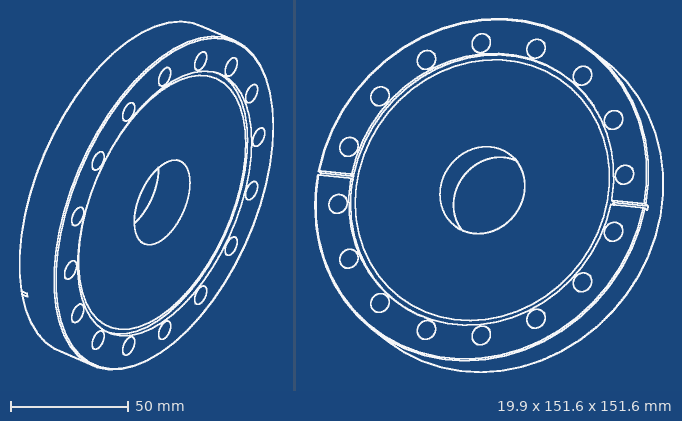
import cadquery as cq
import math

thickness = 19.9
outer_radius = 75.8
bore_radius = 19.3
edge_chamfer = 0.6

bolt_count = 16
bolt_circle_radius = 65.0
bolt_hole_diameter = 8.3

recess_radius = 60.2
knife_edge_radius = 57.8
recess_depth = 1.4
seal_slope_angle = 20.0
seal_slope_drop = (recess_radius - knife_edge_radius) * math.tan(math.radians(seal_slope_angle))
seal_groove_depth = recess_depth + seal_slope_drop

slot_width = 1.8
slot_depth = 3.6
slot_angle = 180.0 / bolt_count

face_x = -thickness / 2


def make_disc():
    """Chamfered disc with a central bore, first sealing face at face_x."""
    disc = cq.Workplane("YZ", origin=(face_x, 0, 0)).circle(outer_radius).extrude(thickness)
    disc = disc.edges().chamfer(edge_chamfer)
    bore = cq.Workplane("YZ", origin=(face_x, 0, 0)).circle(bore_radius).extrude(thickness)
    return disc.cut(bore)


def make_bolt_holes():
    return (
        cq.Workplane("YZ", origin=(face_x, 0, 0))
        .polarArray(bolt_circle_radius, 0, 360, bolt_count)
        .circle(bolt_hole_diameter / 2)
        .extrude(thickness)
    )


def make_seal_recess():
    """Half-profile of the recess revolved about the X axis."""
    profile = [
        (face_x, 0),
        (face_x + recess_depth, 0),
        (face_x + recess_depth, knife_edge_radius),
        (face_x + seal_groove_depth, recess_radius),
        (face_x, recess_radius),
    ]
    return cq.Workplane("XY").polyline(profile).close().revolve(360, (0, 0, 0), (1, 0, 0))


def make_leak_slot(angle):
    """Radial slot from the recess wall out through the rim, turned by angle about X from +Y."""
    slot = cq.Workplane("XY").box(slot_depth, outer_radius, slot_width, centered=(False, False, True))
    slot = slot.translate((face_x, 0, 0)).rotate((0, 0, 0), (1, 0, 0), angle)
    recess_core = cq.Workplane("YZ", origin=(face_x, 0, 0)).circle(recess_radius).extrude(slot_depth)
    return slot.cut(recess_core)


seal_recess = make_seal_recess()
result = make_disc().cut(make_bolt_holes())
result = result.cut(seal_recess).cut(seal_recess.mirror("YZ"))

for half_turn in (0, 180):
    result = result.cut(make_leak_slot(slot_angle + half_turn))